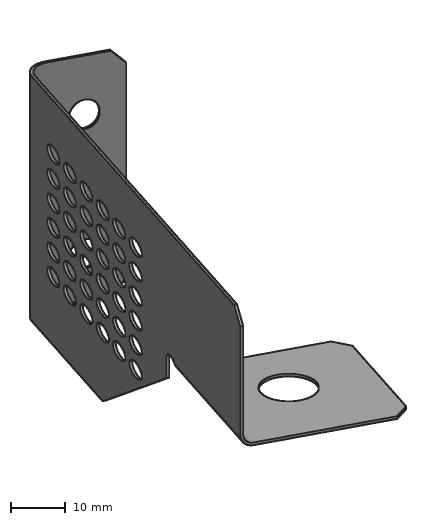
import cadquery as cq

length = 106.16
depth = 33.73
height = 50.0
sheet = 0.6

side_inner_radius = 4.0
side_outer_radius = side_inner_radius + sheet
side_flange_depth = 20.16
side_hole_diameter = 6.0
side_hole_y = 12.0
side_hole_heights = (9.5, 38.0)

tab_inner_radius = 2.0
tab_outer_radius = tab_inner_radius + sheet
tab_width = 32.2
tab_left = length - tab_width
tab_bottom = 22.25
tab_bend_start = tab_bottom + tab_outer_radius
tab_hole_diameter = 11.0
tab_hole_x = 88.16
tab_hole_y = 16.75

notch_width = 3.8
notch_corner_radius = 1.4
notch_left = tab_left - notch_width
notch_center_x = tab_left - notch_width / 2
slope_start_x = 39.16
slope_end_z = 19.4

corner_chamfer = 3.0

vent_columns = 6
vent_rows = 6
vent_pitch_x = 8.0
vent_pitch_z = 5.0
vent_first_x = 15.16
vent_first_z = 14.0
vent_length = 6.0
vent_height = 3.0


def make_bent_side():
    """Main plate and side flange as one L-shaped strip of full height."""
    profile = (
        cq.Workplane("XY")
        .moveTo(0, side_flange_depth)
        .lineTo(0, side_outer_radius)
        .radiusArc((side_outer_radius, 0), -side_outer_radius)
        .lineTo(length, 0)
        .lineTo(length, sheet)
        .lineTo(side_outer_radius, sheet)
        .radiusArc((sheet, side_outer_radius), side_inner_radius)
        .lineTo(sheet, side_flange_depth)
        .close()
    )
    return profile.extrude(height)


def make_plate_outline():
    """Block with the front outline of the main plate, as deep as the side flange."""
    return (
        cq.Workplane("XZ")
        .moveTo(0, 0)
        .lineTo(slope_start_x, 0)
        .lineTo(notch_left, slope_end_z)
        .lineTo(notch_center_x, slope_end_z)
        .lineTo(notch_center_x, tab_bend_start)
        .lineTo(length, tab_bend_start)
        .lineTo(length, height - corner_chamfer)
        .lineTo(length - corner_chamfer, height)
        .lineTo(0, height)
        .close()
        .extrude(-side_flange_depth)
    )


def make_flange_outline():
    """Block as long as the part that clips the two free corners of the side flange."""
    return (
        cq.Workplane("YZ")
        .rect(side_flange_depth, height, centered=False)
        .extrude(length)
        .edges("|X and >Y")
        .chamfer(corner_chamfer)
    )


def make_tab():
    """Tab and its bend; the bend reaches over the notch until the notch is cut."""
    profile = (
        cq.Workplane("YZ", origin=(notch_center_x, 0, 0))
        .moveTo(0, tab_bend_start)
        .radiusArc((tab_outer_radius, tab_bottom), -tab_outer_radius)
        .lineTo(depth, tab_bottom)
        .lineTo(depth, tab_bottom + sheet)
        .lineTo(tab_outer_radius, tab_bottom + sheet)
        .radiusArc((sheet, tab_bend_start), tab_inner_radius)
        .close()
    )
    bent_sheet = profile.extrude(length - notch_center_x)
    outline = (
        cq.Workplane("XY", origin=(tab_left, 0, 0))
        .rect(tab_width, depth, centered=False)
        .extrude(height)
        .edges("|Z and >Y")
        .chamfer(corner_chamfer)
    )
    bend_zone = (
        cq.Workplane("XY", origin=(notch_center_x, 0, 0))
        .rect(notch_width / 2, tab_outer_radius, centered=False)
        .extrude(height)
    )
    hole = (
        cq.Workplane("XY", origin=(tab_hole_x, tab_hole_y, tab_bottom))
        .circle(tab_hole_diameter / 2)
        .extrude(sheet)
    )
    return bent_sheet.intersect(outline.union(bend_zone)).cut(hole)


def make_notch():
    """Prism with rounded upper corners that separates the tab bend from the main plate."""
    return (
        cq.Workplane("XZ", origin=(notch_left, 0, slope_end_z))
        .rect(notch_width, tab_bend_start - slope_end_z, centered=False)
        .extrude(-depth)
        .edges("|Y and >Z")
        .fillet(notch_corner_radius)
    )


def make_vents():
    """Grid of elliptical prisms that pierce the main plate."""
    centers = [
        (vent_first_x + column * vent_pitch_x, vent_first_z + row * vent_pitch_z)
        for column in range(vent_columns)
        for row in range(vent_rows)
    ]
    return (
        cq.Workplane("XZ")
        .pushPoints(centers)
        .ellipse(vent_length / 2, vent_height / 2)
        .extrude(-sheet)
    )


def make_side_holes():
    """Two round holes through the side flange."""
    return (
        cq.Workplane("YZ")
        .pushPoints([(side_hole_y, z) for z in side_hole_heights])
        .circle(side_hole_diameter / 2)
        .extrude(sheet)
    )


bracket = make_bent_side().intersect(make_plate_outline()).intersect(make_flange_outline())
bracket = bracket.cut(make_vents()).cut(make_side_holes())
result = bracket.union(make_tab()).cut(make_notch())